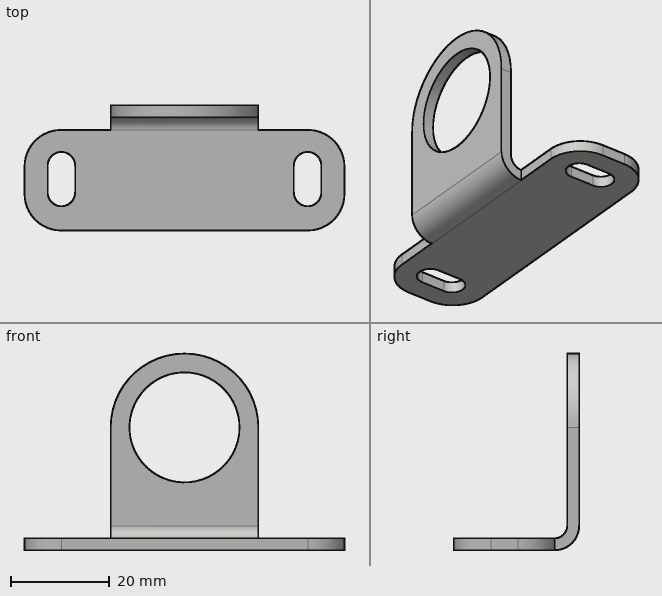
import cadquery as cq

thickness = 2.5
base_length = 65.0
total_depth = 25.5
total_height = 40.0
corner_radius = 7.5

inner_bend_radius = 2.55
outer_bend_radius = inner_bend_radius + thickness
base_depth = total_depth - outer_bend_radius

slot_spacing = 50.0
slot_length = 11.0
slot_width = 5.5
slot_center_y = 10.45

tab_width = 30.0
tab_radius = tab_width / 2
hole_diameter = 22.3
hole_height = total_height - tab_radius


def base_plate():
    """Rounded plate with a slot along Y near each end."""
    plate = (
        cq.Workplane("XY")
        .center(0, base_depth / 2)
        .rect(base_length, base_depth)
        .extrude(thickness)
        .edges("|Z")
        .fillet(corner_radius)
    )
    slots = (
        cq.Workplane("XY")
        .pushPoints([(side * slot_spacing / 2, slot_center_y) for side in (-1, 1)])
        .slot2D(slot_length, slot_width, 90)
        .extrude(thickness)
    )
    return plate.cut(slots)


def bend():
    """Quarter-round strip joining the base plate to the tab."""
    strip = (
        cq.Workplane("YZ", origin=(-tab_width / 2, 0, 0))
        .center(base_depth, outer_bend_radius)
        .circle(outer_bend_radius)
        .circle(inner_bend_radius)
        .extrude(tab_width)
    )
    quadrant = cq.Workplane("XY").box(
        tab_width, outer_bend_radius, outer_bend_radius, centered=(True, False, False)
    )
    return strip.intersect(quadrant.translate((0, base_depth, 0)))


def upright_tab():
    """Vertical tab with a semicircular top concentric with its round hole."""
    rear_plane = cq.Workplane("XZ", origin=(0, total_depth, 0))
    tab = (
        rear_plane
        .moveTo(-tab_radius, outer_bend_radius)
        .lineTo(tab_radius, outer_bend_radius)
        .lineTo(tab_radius, hole_height)
        .threePointArc((0, total_height), (-tab_radius, hole_height))
        .close()
        .extrude(thickness)
    )
    hole = rear_plane.center(0, hole_height).circle(hole_diameter / 2).extrude(thickness)
    return tab.cut(hole)


result = base_plate().union(bend()).union(upright_tab())